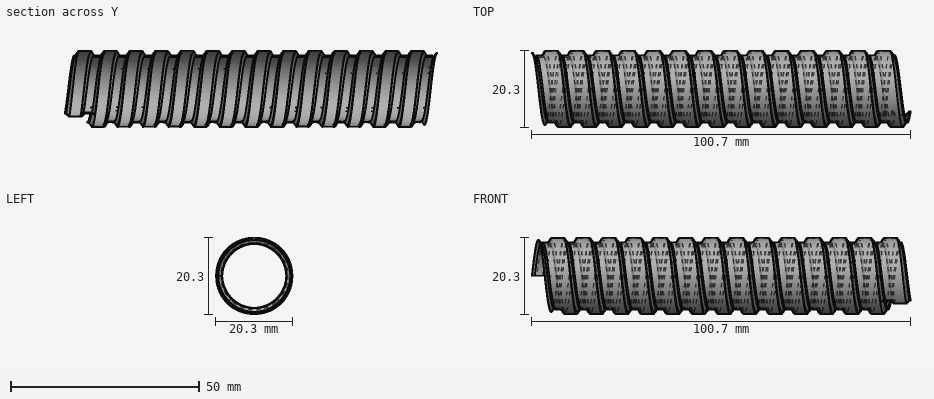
import cadquery as cq
import math


overall_length = 100.7
crown_diameter = 20.3
valley_diameter = 17.9
bore_diameter = 16.9
hook_tip_diameter = 19.2
strip_thickness = 0.17

wound_span = 8.1
full_turns = 13
end_angle = 227.0
turns = full_turns + end_angle / 360.0
pitch = (overall_length - wound_span) / turns

crown_radius = crown_diameter / 2.0
valley_radius = valley_diameter / 2.0
channel_radius = bore_diameter / 2.0 + strip_thickness
hook_tip_radius = hook_tip_diameter / 2.0

lip_joint = 0.05
lip_start = wound_span - pitch + lip_joint
ramp_foot = 2.8
crown_start = 3.5
crown_end = 6.8
slope_foot = 7.8
bend_radius = 0.4

hook_width = 0.7
hook_length = math.hypot(hook_width, hook_tip_radius - channel_radius)
hook_start = strip_thickness * (hook_tip_radius - channel_radius) / hook_length
channel_start = hook_start + hook_width
channel_end = 3.0


def offset_below(line, distance):
    """Offset an open (axial, radius) polyline towards the conduit axis."""
    normals = []
    for (x1, r1), (x2, r2) in zip(line, line[1:]):
        length = math.hypot(x2 - x1, r2 - r1)
        normals.append(((r2 - r1) / length, (x1 - x2) / length))
    shifted = []
    for i, (x, r) in enumerate(line):
        before = normals[max(i - 1, 0)]
        after = normals[min(i, len(normals) - 1)]
        miter = distance / (1.0 + before[0] * after[0] + before[1] * after[1])
        shifted.append((x + (before[0] + after[0]) * miter, r + (before[1] + after[1]) * miter))
    return shifted


def strip_section(line):
    """Planar face of a strip whose outer surface follows the (axial, radius) line."""
    outline = line + offset_below(line, strip_thickness)[::-1]
    corners = [cq.Vector(r, 0, x) for x, r in outline]
    return cq.Face.makeFromWires(cq.Wire.makePolygon(corners, close=True))


def round_corner(section, corner, radius):
    """Round the corner of a strip section nearest to an (axial, radius) point."""
    axial, height = corner
    target = cq.Vector(height, 0, axial)
    nearest = min(section.Vertices(), key=lambda vertex: (vertex.Center() - target).Length)
    return section.fillet2D(radius, [nearest])


def wind(section):
    """Sweep a strip section along the helix and lay the helix axis along X."""
    start = cq.Vector(0, 0, section.Center().z)
    helix = cq.Wire.makeHelix(pitch, pitch * turns, valley_radius, center=start)
    strip = cq.Workplane(obj=section.outerWire()).toPending().sweep(cq.Workplane(obj=helix), isFrenet=True)
    return strip.rotate((0, 0, 0), (1, 1, 1), 120)


def make_outer_strip():
    line = [
        (lip_start, valley_radius),
        (ramp_foot, valley_radius),
        (crown_start, crown_radius),
        (crown_end, crown_radius),
        (slope_foot, valley_radius),
        (wound_span, valley_radius),
    ]
    section = strip_section(line)

    _, foot, top = line[:3]
    _, foot_below, top_below = offset_below(line, strip_thickness)[:3]
    wide_radius = bend_radius + strip_thickness
    section = round_corner(section, foot, bend_radius)
    section = round_corner(section, foot_below, wide_radius)
    section = round_corner(section, top, wide_radius)
    section = round_corner(section, top_below, bend_radius)
    return wind(section)


def make_inner_strip():
    section = strip_section([
        (hook_start, hook_tip_radius),
        (channel_start, channel_radius),
        (channel_end, channel_radius),
        (channel_end + hook_width, hook_tip_radius),
    ])
    return wind(section)


outer_strip = make_outer_strip()
inner_strip = make_inner_strip()
result = cq.Compound.makeCompound([outer_strip.val(), inner_strip.val()])